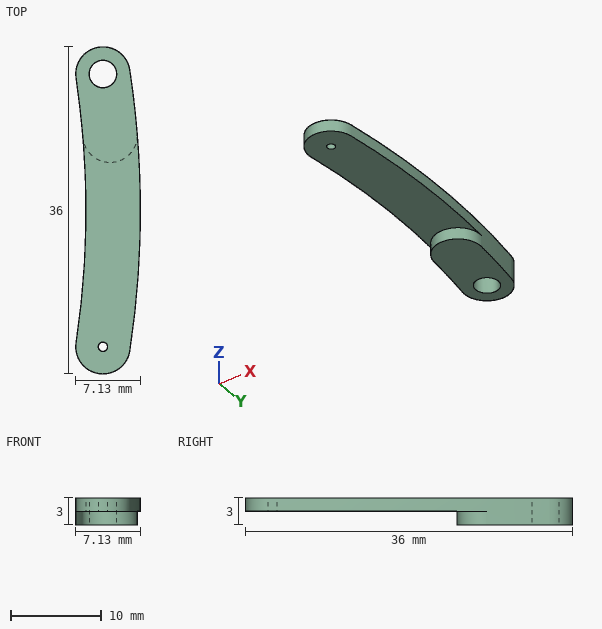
import cadquery as cq
import math

length = 35.98
end_radius = length / 12
hole_spacing = length - 2 * end_radius
curve_radius = 99.95
arm_thickness = end_radius / 2
total_height = 2 * arm_thickness
pivot_diameter = end_radius
pin_diameter = pivot_diameter / 3
pad_length = 6.73

half_spacing = hole_spacing / 2
half_angle = math.asin(half_spacing / curve_radius)
curve_center_x = -curve_radius * math.cos(half_angle)
pad_end_angle = math.asin((half_spacing - pad_length) / curve_radius)


def arc_point(radius, angle):
    """Point on an arc concentric with the arm centreline."""
    return (curve_center_x + radius * math.cos(angle), radius * math.sin(angle))


def curved_bar(start_angle, end_angle, bottom, height):
    """Constant-width curved bar with a full round at each end."""
    outer = curve_radius + end_radius
    inner = curve_radius - end_radius
    middle_angle = (start_angle + end_angle) / 2
    tip_angle = math.atan(end_radius / curve_radius)
    tip_distance = math.hypot(curve_radius, end_radius)
    return (
        cq.Workplane("XY", origin=(0, 0, bottom))
        .moveTo(*arc_point(outer, start_angle))
        .threePointArc(arc_point(outer, middle_angle), arc_point(outer, end_angle))
        .threePointArc(arc_point(tip_distance, end_angle + tip_angle), arc_point(inner, end_angle))
        .threePointArc(arc_point(inner, middle_angle), arc_point(inner, start_angle))
        .threePointArc(arc_point(tip_distance, start_angle - tip_angle), arc_point(outer, start_angle))
        .close()
        .extrude(height)
    )


def through_hole(y, diameter):
    return cq.Workplane("XY").center(0, y).circle(diameter / 2).extrude(total_height)


arm = curved_bar(-half_angle, half_angle, total_height - arm_thickness, arm_thickness)
pad = curved_bar(pad_end_angle, half_angle, 0, total_height)

result = (
    arm.union(pad)
    .cut(through_hole(half_spacing, pivot_diameter))
    .cut(through_hole(-half_spacing, pin_diameter))
)